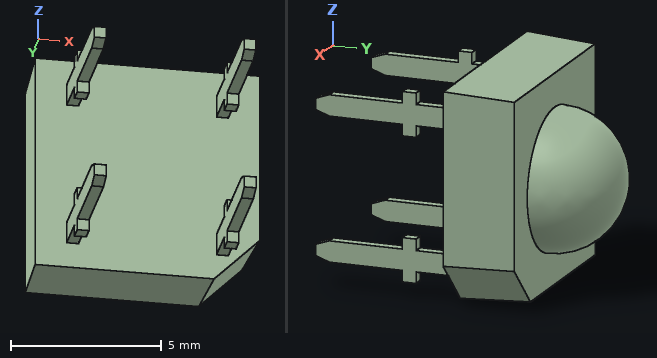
import cadquery as cq

base_side = 7.62
body_depth = 2.5
draft_angle = 3.0
corner_cut = 1.55
dome_radius = 2.5

pin_pitch = 5.08
pin_length = 5.0
pin_thickness = 0.4
pin_width = 0.75
pin_tip_width = 0.4
pin_tip_length = 0.5
stop_width = 1.55
stop_start = 1.39
stop_length = 0.5

half_side = base_side / 2


def make_body():
    """Drafted block with its base at Y = 0 and its +X -Z corner cut off."""
    base = (
        cq.Workplane("XZ")
        .moveTo(-half_side, -half_side)
        .lineTo(half_side - corner_cut, -half_side)
        .lineTo(half_side, -half_side + corner_cut)
        .lineTo(half_side, half_side)
        .lineTo(-half_side, half_side)
        .close()
    )
    return base.extrude(-body_depth, taper=draft_angle)


def make_dome():
    """Hemispherical lens resting on the +Y face."""
    return (
        cq.Workplane("XY", origin=(0, body_depth, 0))
        .lineTo(dome_radius, 0)
        .radiusArc((0, dome_radius), -dome_radius)
        .close()
        .revolve(360, (0, 0), (0, 1))
    )


def make_pin(x, z):
    """Flat pin with a pointed tip and a wider stop partway along it."""
    tip_start = pin_length - pin_tip_length
    stop_end = stop_start + stop_length
    upper = [
        (0, pin_width / 2),
        (-stop_start, pin_width / 2),
        (-stop_start, stop_width / 2),
        (-stop_end, stop_width / 2),
        (-stop_end, pin_width / 2),
        (-tip_start, pin_width / 2),
        (-pin_length, pin_tip_width / 2),
    ]
    lower = [(y, -height) for y, height in reversed(upper)]
    return (
        cq.Workplane("YZ", origin=(x, 0, z))
        .polyline(upper + lower)
        .close()
        .extrude(pin_thickness / 2, both=True)
    )


result = make_body().union(make_dome())
for x in (-pin_pitch / 2, pin_pitch / 2):
    for z in (-pin_pitch / 2, pin_pitch / 2):
        result = result.union(make_pin(x, z))